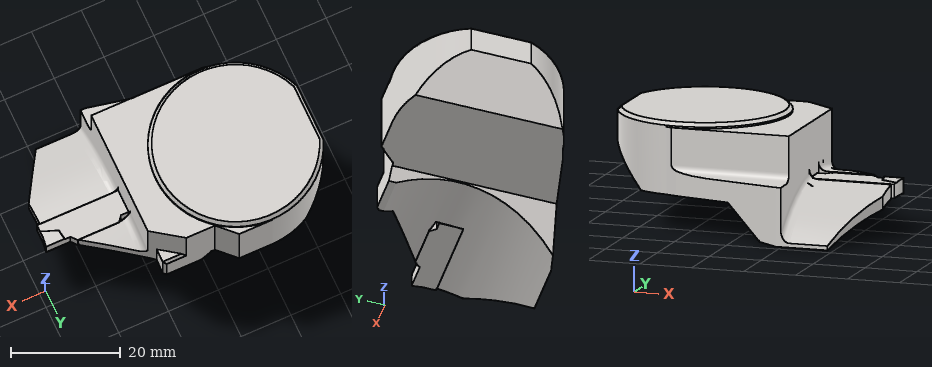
import cadquery as cq
import math


total_height = 20.75
plate_top = 19.75
ledge_top = 11.1
seat_z = 7.1

disc_radius = 16.05
disc_center_x = 15.0
disc_chamfer = 0.7
heel_chamfer = 7.35

throat_foot_x = 32.7

wall_x = 36.55
plate_front_y = -16.25
plate_start_x = 12.8
shoulder_x = 14.85
shoulder_y = -16.55
nose_start_x = 35.5
nose_front_y = -21.0
back_y = disc_radius
back_flat_end_x = 21.6
back_step = 3.35
step_y = back_y - back_step
diagonal_start_x = 30.7
diagonal_wall_y = 8.55
ledge_fillet = 1.7

blade_end_x = 52.25
blade_front_end_x = 45.5
blade_corner_y = -9.4
diagonal_end_x = 47.2
blade_axis_z = -19.65
blade_top_radius = 29.3
cove_radius = 1.65
underside_radius = 35.05
underside_crest_z = 6.95

tab_end_x = 35.2
tab_depth = 4.8
back_floor = 5.1
tab_chamfer = 0.55

insert_front_y = -4.45
insert_back_y = 1.35
insert_edge_y = 0.15
insert_bottom = 6.8
insert_top = 9.45
insert_left_bevel_x = 38.05
insert_left_crest_x = 39.05
insert_right_crest_x = 47.25
insert_right_bevel_x = 48.2
insert_end_x = 52.85
slot_wall_y = 0.8
tip_end_x = 53.1
tip_start_x = 49.4
tip_side_x = 49.65
tip_side_y = -1.85
tip_front_y = -3.1
tip_rise = 0.25


def plan_prism(points, bottom, top):
    """Extrude an XY outline between two heights."""
    return cq.Workplane("XY", origin=(0, 0, bottom)).polyline(points).close().extrude(top - bottom)


def make_disc():
    """Chamfered round head with a flat on its left side."""
    disc_base = cq.Workplane("XY", origin=(disc_center_x, 0, seat_z))
    disc = disc_base.circle(disc_radius).extrude(total_height - seat_z)
    flat_trim = cq.Workplane("XY").box(
        2 * disc_radius, 2 * disc_radius, total_height, centered=(False, True, False)
    )
    return disc.intersect(flat_trim).faces(">Z").chamfer(disc_chamfer)


def make_body():
    """Plate beside the disc and the wider ledge below it, joined by a concave fillet."""
    disc_offset = plate_start_x - disc_center_x
    start_y = -math.sqrt(disc_radius**2 - disc_offset**2)
    facet_share = (plate_front_y - start_y) / (shoulder_y - start_y)
    plate_corner_x = plate_start_x + facet_share * (shoulder_x - plate_start_x)
    back_outline = [
        (wall_x, diagonal_wall_y),
        (diagonal_start_x, step_y),
        (back_flat_end_x + back_step, step_y),
        (back_flat_end_x, back_y),
        (disc_center_x, back_y),
        (disc_center_x, 0),
        (plate_start_x, start_y),
    ]
    plate_outline = [(plate_corner_x, plate_front_y), (wall_x, plate_front_y)] + back_outline
    ledge_outline = [
        (shoulder_x, shoulder_y),
        (nose_start_x, nose_front_y),
        (wall_x, nose_front_y),
    ] + back_outline
    plate = plan_prism(plate_outline, ledge_top, plate_top)
    ledge = plan_prism(ledge_outline, 0, ledge_top)
    fillet_y = plate_front_y - ledge_fillet
    fillet_z = ledge_top + ledge_fillet
    arc_reach = ledge_fillet * math.sqrt(0.5)
    fillet = (
        cq.Workplane("YZ", origin=(plate_start_x, 0, 0))
        .moveTo(plate_front_y, ledge_top)
        .lineTo(fillet_y, ledge_top)
        .threePointArc((fillet_y + arc_reach, fillet_z - arc_reach), (plate_front_y, fillet_z))
        .close()
        .extrude(wall_x - plate_start_x)
    )
    fillet = fillet.intersect(plan_prism(ledge_outline, ledge_top, plate_top))
    return plate.union(ledge).union(fillet)


def make_blade():
    """Arched blade with a concave run-out into the wall of the body."""
    outline = [
        (wall_x, nose_front_y),
        (blade_front_end_x, nose_front_y),
        (blade_end_x, blade_corner_y),
        (blade_end_x, insert_back_y),
        (diagonal_end_x, insert_back_y),
        (wall_x, diagonal_wall_y),
    ]
    arc_x = wall_x + cove_radius
    arc_r = blade_top_radius + cove_radius
    arc_reach = cove_radius * math.sqrt(0.5)
    arch = (
        cq.Workplane("XZ", origin=(0, 0, blade_axis_z))
        .moveTo(wall_x, 0)
        .lineTo(blade_end_x, 0)
        .lineTo(blade_end_x, blade_top_radius)
        .lineTo(arc_x, blade_top_radius)
        .threePointArc((arc_x - arc_reach, arc_r - arc_reach), (wall_x, arc_r))
        .close()
        .revolve(360, (0, 0, 0), (1, 0, 0))
    )
    return plan_prism(outline, 0, total_height).intersect(arch)


def make_tab():
    """Low tab that stays beyond the diagonal side of the body."""
    tab = cq.Workplane("XY", origin=(diagonal_start_x, step_y - tab_depth, back_floor)).box(
        tab_end_x - diagonal_start_x, tab_depth, ledge_top - back_floor, centered=False
    )
    return tab.edges(">X and >Y").chamfer(tab_chamfer).faces(">Z").edges(">Y").chamfer(tab_chamfer)


def underside_cuts():
    """Heel bevel, flat seat, 45 degree throat, arched underside and flat back floor."""
    relief = (
        cq.Workplane("XZ", origin=(0, back_y, 0))
        .polyline([
            (0, 0),
            (throat_foot_x, 0),
            (throat_foot_x - seat_z, seat_z),
            (heel_chamfer, seat_z),
            (0, seat_z + heel_chamfer),
        ])
        .close()
        .extrude(back_y - nose_front_y)
    )
    arch = (
        cq.Workplane("YZ")
        .center(0, underside_crest_z - underside_radius)
        .circle(underside_radius)
        .extrude(tip_end_x)
    )
    arch_drop = underside_crest_z - back_floor
    floor_start_y = math.sqrt(underside_radius**2 - (underside_radius - arch_drop) ** 2)
    floor_outline = [(0, floor_start_y), (tip_end_x, floor_start_y), (tip_end_x, back_y), (0, back_y)]
    floor = plan_prism(floor_outline, 0, back_floor)
    arch_limit = cq.Workplane("XY", origin=(0, nose_front_y, 0)).box(
        tip_end_x, floor_start_y - nose_front_y, total_height, centered=False
    )
    return relief.union(arch.intersect(arch_limit)).union(floor)


def make_slot():
    """Open seat through the blade for the insert."""
    outline = [
        (wall_x, insert_front_y),
        (tip_end_x, insert_front_y),
        (tip_end_x, insert_back_y),
        (insert_left_crest_x, insert_back_y),
        (wall_x, slot_wall_y),
    ]
    return plan_prism(outline, 0, total_height)


def make_holder():
    """Disc, plate, blade and tab as one piece, with the insert seat cut out."""
    body = make_disc().union(make_body()).union(make_blade()).union(make_tab())
    return body.cut(underside_cuts()).cut(make_slot())


def make_insert():
    """Flat cutting insert with a raised, sloping tip."""
    outline = [
        (wall_x, insert_front_y),
        (insert_end_x, insert_front_y),
        (insert_end_x, tip_side_y),
        (tip_end_x, insert_edge_y),
        (insert_right_bevel_x, insert_edge_y),
        (insert_right_crest_x, insert_back_y),
        (insert_left_crest_x, insert_back_y),
        (insert_left_bevel_x, insert_edge_y),
        (wall_x, insert_edge_y),
    ]
    tip_outline = [
        (tip_start_x, insert_edge_y),
        (tip_side_x, tip_side_y),
        (insert_end_x, tip_front_y),
        (insert_end_x, tip_side_y),
        (tip_end_x, insert_edge_y),
    ]
    tip_top = insert_top + tip_rise
    slope = (
        cq.Workplane("YZ", origin=(tip_start_x, 0, 0))
        .polyline([
            (tip_front_y, insert_bottom),
            (insert_edge_y, insert_bottom),
            (insert_edge_y, tip_top),
            (tip_front_y, insert_top),
        ])
        .close()
        .extrude(tip_end_x - tip_start_x)
    )
    tip = plan_prism(tip_outline, insert_bottom, tip_top).intersect(slope)
    return plan_prism(outline, insert_bottom, insert_top).union(tip)


holder = make_holder()
insert = make_insert()
result = cq.Compound.makeCompound([holder.solids().val(), insert.solids().val()])